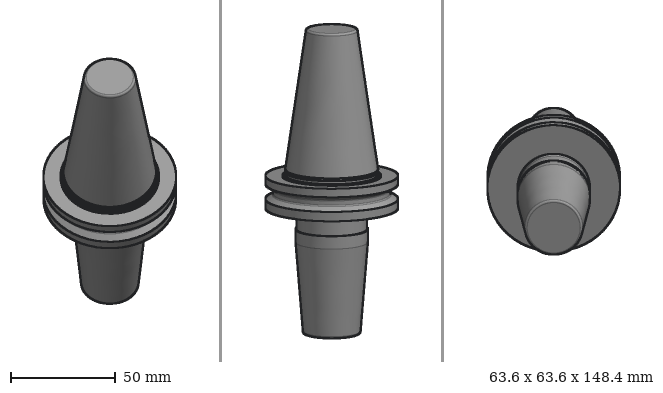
import cadquery as cq
import math

total_length = 148.4

taper_length = 68.4
gauge_radius = 22.3
taper_ratio = 7 / 24
taper_tip_rounding = 1.2

relief_radius = 22.0
relief_height = 1.3
relief_lead = 0.3
neck_end = -3.1
neck_radius = 22.3
seat_radius = 23.6
seat_depth = 0.3
neck_foot_radius = 22.5
neck_foot_height = 0.3

flange_radius = 31.8
flange_thickness = 15.9
upper_rim_height = 4.2
lower_rim_height = 4.6
groove_floor_radius = 28.0
groove_flank_angle = 30.0
groove_corner_rounding = 0.7

collar_radius = 17.4
collar_height = 0.7
collar_slope_height = 1.5
waist_radius = 16.9
waist_height = 8.0
land_radius = 17.4
land_height = 6.2
nose_angle = 4.6
nose_tip_rounding = 1.2

taper_top = taper_length
nose_bottom = taper_top - total_length
flange_top = neck_end
flange_bottom = flange_top - flange_thickness
groove_top = flange_top - upper_rim_height
groove_bottom = flange_bottom + lower_rim_height
flank_height = (flange_radius - groove_floor_radius) * math.tan(math.radians(groove_flank_angle))
collar_bottom = flange_bottom - collar_height
waist_top = collar_bottom - collar_slope_height
waist_bottom = waist_top - waist_height
land_bottom = waist_bottom - land_height

taper_tip_radius = gauge_radius - taper_length * taper_ratio / 2
nose_tip_radius = land_radius - (land_bottom - nose_bottom) * math.tan(math.radians(nose_angle))


def turned_body():
    """Revolve the half outline, listed from the taper tip down to the nose tip."""
    outline = [
        (0, taper_top),
        (taper_tip_radius, taper_top),
        (gauge_radius, 0),
        (relief_radius, -relief_lead),
        (relief_radius, -relief_height),
        (neck_radius, -relief_height),
        (neck_radius, flange_top + neck_foot_height),
        (neck_foot_radius, flange_top - seat_depth),
        (seat_radius, flange_top - seat_depth),
        (seat_radius, flange_top),
        (flange_radius, flange_top),
        (flange_radius, groove_top),
        (groove_floor_radius, groove_top - flank_height),
        (groove_floor_radius, groove_bottom + flank_height),
        (flange_radius, groove_bottom),
        (flange_radius, flange_bottom),
        (collar_radius, flange_bottom),
        (collar_radius, collar_bottom),
        (waist_radius, waist_top),
        (waist_radius, waist_bottom),
        (land_radius, waist_bottom),
        (land_radius, land_bottom),
        (nose_tip_radius, nose_bottom),
        (0, nose_bottom),
    ]
    return cq.Workplane("XZ").polyline(outline).close().revolve(360, (0, 0, 0), (0, 1, 0))


def round_groove_corners(body):
    """Round the two circular corners between the groove flanks and its floor."""
    reach = 0.3
    corners = cq.selectors.BoxSelector(
        (-reach, -reach, groove_bottom + flank_height - reach),
        (reach, reach, groove_top - flank_height + reach),
    )
    return body.edges(corners).fillet(groove_corner_rounding)


body = round_groove_corners(turned_body())
body = body.faces(">Z").edges().fillet(taper_tip_rounding)
result = body.faces("<Z").edges().fillet(nose_tip_rounding)